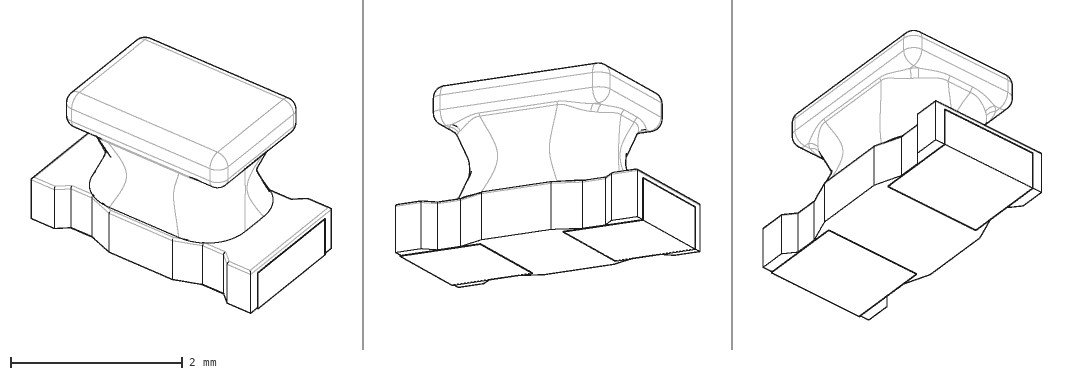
import cadquery as cq
total_length = 3.2
width = 1.6
total_height = 2.0

terminal_thickness = 0.01
terminal_width = 1.33
terminal_height = 0.52
terminal_inner_x = 0.545

base_length = total_length - 2 * terminal_thickness
base_top = 0.6
base_edge_radius = 0.03
notch_depth = 0.128
bulge_flat_x = 0.458
notch_inner_x = 0.803
notch_outer_x = 1.105
end_block_x = 1.25

flange_length = 2.305
flange_height = 0.48
flange_radius = 0.15
flange_bottom = total_height - flange_height

core_foot_length = 2.12
core_foot_width = 1.472
waist_inset = 0.12
core_corner_radius = 0.6
core_overlap = 0.065
flare_ratio = 1.6
neck_radius = 0.128
seam_margin = 0.003


def make_base():
    """Notched plate with its top edges rounded."""
    side = width / 2
    notch = side - notch_depth
    end = base_length / 2
    quarter = [
        (bulge_flat_x, side),
        (notch_inner_x, notch),
        (notch_outer_x, notch),
        (end_block_x, side),
        (end, side),
    ]
    back_left = [(-x, y) for x, y in reversed(quarter)]
    front_right = [(x, -y) for x, y in reversed(quarter)]
    front_left = [(-x, -y) for x, y in quarter]
    outline = quarter + front_right + front_left + back_left
    plate = (
        cq.Workplane("XY", origin=(0, 0, terminal_thickness))
        .polyline(outline)
        .close()
        .extrude(base_top - terminal_thickness)
    )
    return plate.faces(">Z").edges().fillet(base_edge_radius)


def make_flange():
    """Top block with every edge rounded."""
    return (
        cq.Workplane("XY", origin=(0, 0, flange_bottom))
        .box(flange_length, width, flange_height, centered=(True, True, False))
        .edges()
        .fillet(flange_radius)
    )


def waisted_slab(plane, foot_size):
    """Slab with two opposite sides curving in to a waist, straightening towards their ends."""
    foot = foot_size / 2
    waist = foot - waist_inset
    low = base_top
    high = flange_bottom + core_overlap
    middle = (base_top + flange_bottom) / 2
    flare = flare_ratio * waist_inset / (flange_bottom - middle)
    head = foot + flare * core_overlap
    return (
        cq.Workplane(plane)
        .workplane(offset=-total_length / 2)
        .moveTo(-foot, low)
        .lineTo(foot, low)
        .spline([(waist, middle), (head, high)], tangents=[(-flare, 1), (flare, 1)], includeCurrent=True)
        .lineTo(-head, high)
        .spline([(-waist, middle), (-foot, low)], tangents=[(flare, -1), (-flare, -1)], includeCurrent=True)
        .close()
        .extrude(total_length)
    )


def make_core():
    """Column concave on all four sides, with its upright edges rounded."""
    along_x = waisted_slab("XZ", core_foot_length)
    along_y = waisted_slab("YZ", core_foot_width)
    column = along_x.intersect(along_y)
    return column.edges("not(#Z)").fillet(core_corner_radius)


def make_head():
    """Core and top flange joined, with the seam between them rounded."""
    head = make_core().union(make_flange())
    neck = cq.selectors.BoxSelector(
        (-flange_length, -width, flange_bottom - seam_margin),
        (flange_length, width, flange_bottom + core_overlap),
        boundingbox=True,
    )
    seam = head.edges(neck)
    return seam.edges("not %LINE").fillet(neck_radius)


def make_terminal(side):
    """L-shaped terminal on the end given by side (-1 or 1)."""
    outer_x = total_length / 2
    length = outer_x - terminal_inner_x
    foot = cq.Workplane("XY").box(
        length, terminal_width, terminal_thickness, centered=(True, True, False)
    )
    foot = foot.translate((side * (outer_x - length / 2), 0, 0))
    wall = cq.Workplane("XY").box(
        terminal_thickness, terminal_width, terminal_height, centered=(True, True, False)
    )
    wall = wall.translate((side * (outer_x - terminal_thickness / 2), 0, 0))
    return foot.union(wall)


result = make_base().union(make_head())
for side in (-1, 1):
    result = result.union(make_terminal(side))